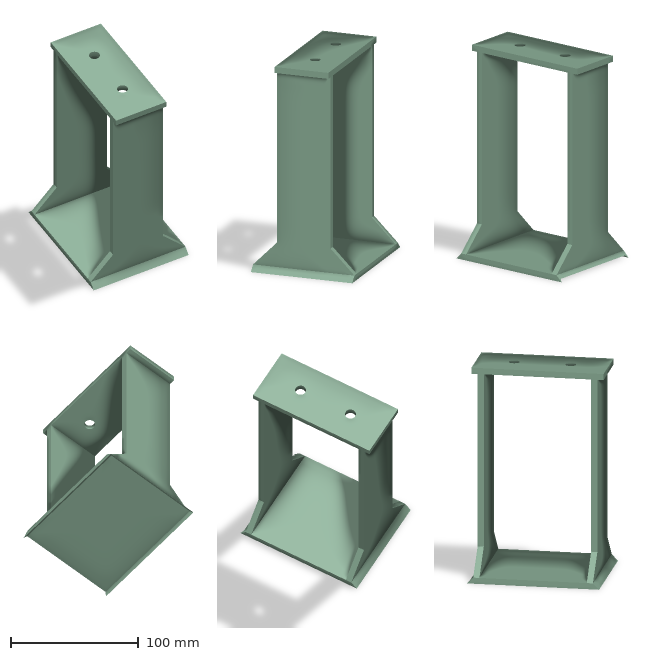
import cadquery as cq

length = 105.0
base_width = 85.0
height = 170.0

thickness = 5.0
top_width = 45.0
flare_height = (base_width - top_width) / 2

hole_diameter = 8.5
hole_spacing = 45.0

pocket_depth = 2.0
pocket_skin = 0.07

wall_outer_x = length / 2 - thickness
wall_top_z = height - thickness


def make_base():
    """Plate whose two X ends slope inward at 45 degrees."""
    profile = [
        (-length / 2, 0),
        (length / 2, 0),
        (wall_outer_x, thickness),
        (-wall_outer_x, thickness),
    ]
    return cq.Workplane("XZ").polyline(profile).close().extrude(base_width / 2, both=True)


def make_pocket():
    """Tapered cavity that opens through the -X edge of the base."""
    pocket_length = length - pocket_skin
    return (
        cq.Workplane("XY")
        .center(-pocket_skin / 2, 0)
        .rect(pocket_length, base_width)
        .workplane(offset=pocket_depth)
        .rect(pocket_length - 2 * pocket_depth, base_width - 2 * pocket_depth)
        .loft(ruled=True)
    )


def make_wall(start_x):
    """Upright wall, flared at its foot to the full base width."""
    flare_top_z = thickness + flare_height
    profile = [
        (-base_width / 2, thickness),
        (base_width / 2, thickness),
        (top_width / 2, flare_top_z),
        (top_width / 2, wall_top_z),
        (-top_width / 2, wall_top_z),
        (-top_width / 2, flare_top_z),
    ]
    return cq.Workplane("YZ", origin=(start_x, 0, 0)).polyline(profile).close().extrude(thickness)


def make_top():
    """Top plate with two through holes along X."""
    return (
        cq.Workplane("XY", origin=(0, 0, wall_top_z))
        .rect(length, top_width)
        .extrude(thickness)
        .faces(">Z")
        .workplane()
        .pushPoints([(-hole_spacing / 2, 0), (hole_spacing / 2, 0)])
        .hole(hole_diameter)
    )


result = make_base().cut(make_pocket()).union(make_top())
for start_x in (-wall_outer_x, wall_outer_x - thickness):
    result = result.union(make_wall(start_x))